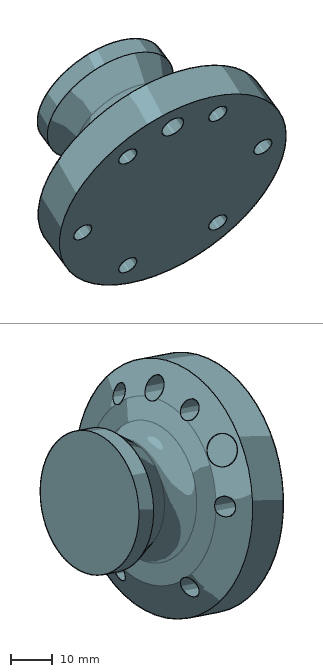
import cadquery as cq
import math

LENGTH = 34.0
FLANGE_DIAMETER = 63.0
RIM_THICKNESS = 10.0
BEVEL_LENGTH = 4.0
BEVEL_ANGLE = 25.0

HUB_DIAMETER = 35.0
HUB_LENGTH = 4.75
NECK_DIAMETER = 26.4
NECK_X = 14.0
NECK_FILLET_RADIUS = 5.0

BOLT_CIRCLE_RADIUS = 25.0
BOLT_HOLE_DIAMETER = 5.0
BOLT_HOLE_COUNT = 6
LOCATING_HOLE_DIAMETER = 6.0
LOCATING_HOLE_ANGLE = 90.0

PAD_DIAMETER = 8.0
PAD_ANGLE = 150.0
PAD_RADIAL_POSITION = 26.75
PAD_HEIGHT = 0.1
PAD_ROOT_DEPTH = 1.0

FLANGE_RADIUS = FLANGE_DIAMETER / 2
HUB_RADIUS = HUB_DIAMETER / 2
RIM_START_X = LENGTH - RIM_THICKNESS
BEVEL_START_X = RIM_START_X - BEVEL_LENGTH
NECK_RADIUS = NECK_DIAMETER / 2
FILLET_CENTRE = (NECK_X, NECK_RADIUS + NECK_FILLET_RADIUS)
BEVEL_SLOPE = math.tan(math.radians(BEVEL_ANGLE))
BEVEL_INNER_RADIUS = FLANGE_RADIUS - BEVEL_LENGTH / BEVEL_SLOPE


def tangent_point(corner, side):
    """Point where a line from the corner touches the neck fillet circle.

    Side is +1 or -1 and picks one of the two tangents.
    """
    dx = corner[0] - FILLET_CENTRE[0]
    dr = corner[1] - FILLET_CENTRE[1]
    swing = math.acos(NECK_FILLET_RADIUS / math.hypot(dx, dr))
    angle = math.atan2(dr, dx) + side * swing
    return (
        FILLET_CENTRE[0] + NECK_FILLET_RADIUS * math.cos(angle),
        FILLET_CENTRE[1] + NECK_FILLET_RADIUS * math.sin(angle),
    )


def across_flange(angle_deg, radius):
    """(Y, Z) position at an angle from +Y towards +Z."""
    angle = math.radians(angle_deg)
    return (radius * math.cos(angle), radius * math.sin(angle))


def turned_body():
    """Hub, waisted neck and bevelled flange as one revolved profile."""
    hub_corner = (HUB_LENGTH, HUB_RADIUS)
    bevel_corner = (BEVEL_START_X, BEVEL_INNER_RADIUS)
    profile = (
        cq.Workplane("XY")
        .moveTo(0, 0)
        .lineTo(0, HUB_RADIUS)
        .lineTo(*hub_corner)
        .lineTo(*tangent_point(hub_corner, 1))
        .tangentArcPoint((NECK_X, NECK_RADIUS), relative=False)
        .tangentArcPoint(tangent_point(bevel_corner, -1), relative=False)
        .lineTo(*bevel_corner)
        .lineTo(RIM_START_X, FLANGE_RADIUS)
        .lineTo(LENGTH, FLANGE_RADIUS)
        .lineTo(LENGTH, 0)
        .close()
    )
    return profile.revolve(360, (0, 0, 0), (1, 0, 0))


def flange_hole(diameter, angle_deg):
    """Cutter for a hole on the bolt circle, from the neck waist to the back face."""
    return (
        cq.Workplane("YZ", origin=(NECK_X, 0, 0))
        .center(*across_flange(angle_deg, BOLT_CIRCLE_RADIUS))
        .circle(diameter / 2)
        .extrude(LENGTH - NECK_X)
    )


def bevel_pad():
    """Short round pad whose flat face lies parallel to the bevel."""
    y_dir, z_dir = across_flange(PAD_ANGLE, 1.0)
    bevel_x = BEVEL_START_X + BEVEL_SLOPE * (PAD_RADIAL_POSITION - BEVEL_INNER_RADIUS)
    foot = (bevel_x, PAD_RADIAL_POSITION * y_dir, PAD_RADIAL_POSITION * z_dir)
    pad_plane = cq.Plane(
        origin=foot,
        xDir=(0, -z_dir, y_dir),
        normal=(-1, BEVEL_SLOPE * y_dir, BEVEL_SLOPE * z_dir),
    )
    return (
        cq.Workplane(pad_plane)
        .workplane(offset=-PAD_ROOT_DEPTH)
        .circle(PAD_DIAMETER / 2)
        .extrude(PAD_ROOT_DEPTH + PAD_HEIGHT)
    )


result = turned_body().union(bevel_pad())
for index in range(BOLT_HOLE_COUNT):
    bolt_angle = index * 360 / BOLT_HOLE_COUNT
    result = result.cut(flange_hole(BOLT_HOLE_DIAMETER, bolt_angle))
result = result.cut(flange_hole(LOCATING_HOLE_DIAMETER, LOCATING_HOLE_ANGLE))